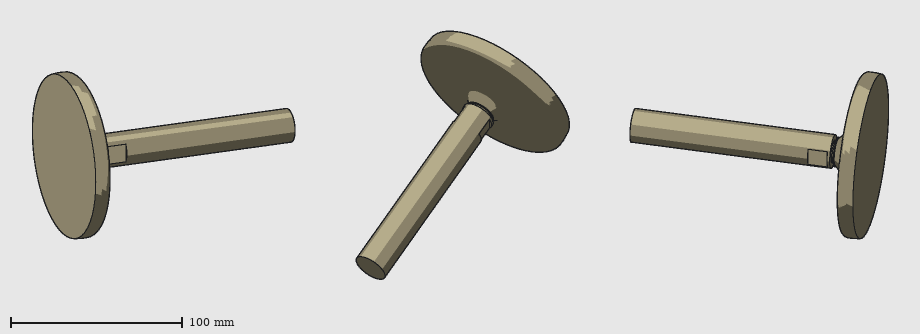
import cadquery as cq
import math

TOTAL_LENGTH = 142.0
FRONT_Y = -TOTAL_LENGTH / 2

BASE_DIAMETER = 98.0
UNDERSIDE_RADIUS = 48.5
TAPER_HEIGHT = 4.0
RIM_HEIGHT = 7.0
SHOULDER_RADIUS = 3.0
CONE_ANGLE = 9.7
COLLAR_FOOT_RADIUS = 12.5
COLLAR_FOOT_FILLET = 3.5
COLLAR_TOP_RADIUS = 8.0
COLLAR_TOP_HEIGHT = 20.2

STUD_DIAMETER = 20.0
STUD_BOTTOM_HEIGHT = 22.5
NECK_RADIUS = 6.7
NECK_BOTTOM_HEIGHT = 21.7
NECK_CONE_RADIUS = 8.2
NECK_FLANGE_RADIUS = 8.8
NECK_FLANGE_THICKNESS = 0.4
FLATS_WIDTH = 16.8
FLATS_START_HEIGHT = 24.1
FLATS_LENGTH = 11.5


def revolve_about_y(profile):
    """Turn a closed radius-height outline about the Y axis."""
    return profile.close().revolve(360, (0, 0, 0), (0, 1, 0)).translate((0, FRONT_Y, 0))


def shoulder_point(angle):
    """Point on the rim shoulder arc, at an angle in degrees from the radial direction."""
    turn = math.radians(angle)
    centre_radius = BASE_DIAMETER / 2 - SHOULDER_RADIUS
    return (
        centre_radius + SHOULDER_RADIUS * math.cos(turn),
        RIM_HEIGHT + SHOULDER_RADIUS * math.sin(turn),
    )


def make_base():
    """Base plate with a rounded shoulder, a conical top and a steep central collar."""
    shoulder_end_angle = 90 - CONE_ANGLE
    shoulder_end = shoulder_point(shoulder_end_angle)
    cone_rise = (shoulder_end[0] - COLLAR_FOOT_RADIUS) * math.tan(math.radians(CONE_ANGLE))
    collar_foot_height = shoulder_end[1] + cone_rise
    base = revolve_about_y(
        cq.Workplane("XY")
        .lineTo(UNDERSIDE_RADIUS, 0)
        .lineTo(BASE_DIAMETER / 2, TAPER_HEIGHT)
        .lineTo(BASE_DIAMETER / 2, RIM_HEIGHT)
        .threePointArc(shoulder_point(shoulder_end_angle / 2), shoulder_end)
        .lineTo(COLLAR_FOOT_RADIUS, collar_foot_height)
        .lineTo(COLLAR_TOP_RADIUS, COLLAR_TOP_HEIGHT)
        .lineTo(0, COLLAR_TOP_HEIGHT)
    )
    foot_centre = (0, FRONT_Y + collar_foot_height, 0)
    foot_circle = cq.selectors.NearestToPointSelector(foot_centre)
    return base.edges("%CIRCLE").edges(foot_circle).fillet(COLLAR_FOOT_FILLET)


def cut_wrench_flats(stud):
    """Cut two opposite flats, facing -X and +X, just above the lower end of the stud."""
    cut_depth = (STUD_DIAMETER - FLATS_WIDTH) / 2
    flats_middle_y = FRONT_Y + FLATS_START_HEIGHT + FLATS_LENGTH / 2
    for side in (-1, 1):
        cutter_x = side * (FLATS_WIDTH + cut_depth) / 2
        cutter = cq.Workplane("XY").box(cut_depth, FLATS_LENGTH, STUD_DIAMETER)
        stud = stud.cut(cutter.translate((cutter_x, flats_middle_y, 0)))
    return stud


def make_stud():
    """Plain round stud on a short neck and a cone whose thin flange rests on the base collar."""
    flange_top_height = COLLAR_TOP_HEIGHT + NECK_FLANGE_THICKNESS
    stud = revolve_about_y(
        cq.Workplane("XY")
        .moveTo(0, COLLAR_TOP_HEIGHT)
        .lineTo(NECK_FLANGE_RADIUS, COLLAR_TOP_HEIGHT)
        .lineTo(NECK_FLANGE_RADIUS, flange_top_height)
        .lineTo(NECK_CONE_RADIUS, flange_top_height)
        .lineTo(NECK_RADIUS, NECK_BOTTOM_HEIGHT)
        .lineTo(NECK_RADIUS, STUD_BOTTOM_HEIGHT)
        .lineTo(STUD_DIAMETER / 2, STUD_BOTTOM_HEIGHT)
        .lineTo(STUD_DIAMETER / 2, TOTAL_LENGTH)
        .lineTo(0, TOTAL_LENGTH)
    )
    return cut_wrench_flats(stud)


base = make_base()
stud = make_stud()
result = cq.Compound.makeCompound([base.val(), stud.val()])